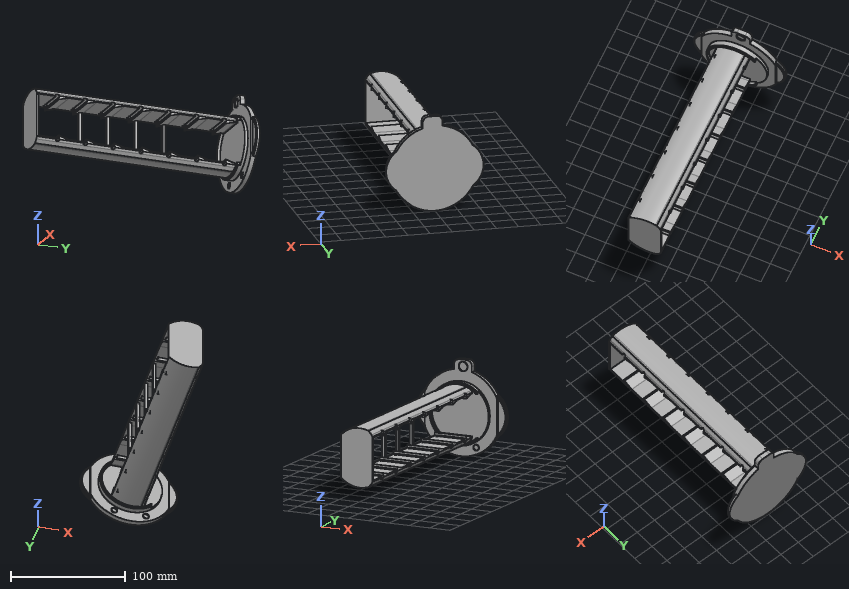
import cadquery as cq
import math

length = 199.0

flange_radius = 39.2
flange_thickness = 5.0
flange_half_flat = 35.5
flange_ramp = 0.8

ear_tip = 44.0
ear_radius = 22.9
ear_thickness = 3.5
ear_chamfer = 1.0

tab_center_x = 2.0
tab_width = 18.0
tab_top = 48.0
tab_corner_radius = 5.0
tab_hole_diameter = 8.5
tab_hole_z = 41.8

small_hole_diameter = 5.4
small_hole_center_x = 0.4
small_hole_spacing = 28.9
small_hole_z = -29.8
recess_depth = 1.0

spigot_diameter = 57.5
spigot_base_end = 8.0
spigot_end = 11.0
spigot_chamfer = 1.0
rim_cut_x = 18.3

bar_radius = 26.9
bar_left = -18.3
bar_right = 12.7
bar_arc_end_x = 7.4
bar_bevel_start = (9.0, 25.5)
bar_bevel_middle = (11.7, 22.3)
bar_bevel_end_z = 20.3
roof_z = 19.5
floor_z = -19.1
cap_thickness = 2.0

tooth_count = 7
tooth_pitch = 26.5
first_tooth_tip = 19.3
tooth_length = 9.4
tooth_height = 2.5
groove_left = -15.5
groove_radius = 1.8
groove_center_z = 20.0
groove_to_tip = 1.1

post_teeth = range(2, 6)
post_width = 3.0
post_depth = 2.5
post_to_tip = 7.8


def plane_at(depth):
    """XZ plane at y = -depth, extruding towards -Y."""
    return cq.Workplane("XZ", origin=(0, -depth, 0))


def make_flange():
    outer_half = flange_half_flat + flange_ramp
    band = (
        cq.Workplane("XY", origin=(0, 0, -flange_radius))
        .moveTo(-outer_half, 0)
        .lineTo(outer_half, 0)
        .lineTo(outer_half, -ear_thickness)
        .lineTo(flange_half_flat, -flange_thickness)
        .lineTo(-flange_half_flat, -flange_thickness)
        .lineTo(-outer_half, -ear_thickness)
        .close()
        .extrude(2 * flange_radius)
    )
    flange = plane_at(0).circle(flange_radius).extrude(flange_thickness).intersect(band)
    for side in (-1, 1):
        ear = (
            plane_at(0)
            .center(side * (ear_tip - ear_radius), 0)
            .circle(ear_radius)
            .extrude(ear_thickness)
            .faces("<Y")
            .chamfer(ear_chamfer)
        )
        flange = flange.union(ear)
    return flange


def make_tab():
    tab_bottom = spigot_diameter / 2
    return (
        plane_at(0)
        .center(tab_center_x, (tab_top + tab_bottom) / 2)
        .rect(tab_width, tab_top - tab_bottom)
        .extrude(flange_thickness)
        .edges("|Y and >Z")
        .fillet(tab_corner_radius)
    )


def make_recesses():
    bottom = plane_at(flange_thickness - recess_depth)
    tab_recess = (
        bottom.center(tab_center_x, tab_hole_z).circle(tab_hole_diameter / 2).extrude(recess_depth)
    )
    small_recesses = (
        bottom.center(small_hole_center_x, small_hole_z)
        .rarray(small_hole_spacing, 2, 2, 1)
        .circle(small_hole_diameter / 2)
        .extrude(recess_depth)
    )
    return tab_recess.union(small_recesses)


def make_spigot():
    spigot_radius = spigot_diameter / 2
    rim_height = spigot_end - spigot_base_end
    base = plane_at(0).circle(spigot_radius).extrude(spigot_base_end)
    rim = (
        plane_at(spigot_base_end)
        .circle(spigot_radius)
        .extrude(rim_height)
        .faces("<Y")
        .chamfer(spigot_chamfer)
    )
    bore = plane_at(spigot_base_end).circle(bar_radius).extrude(rim_height)
    rim_span = rim_cut_x + spigot_radius
    keep = (
        plane_at(spigot_base_end)
        .center(rim_cut_x - rim_span / 2, 0)
        .rect(rim_span, spigot_diameter)
        .extrude(rim_height)
    )
    return base.union(rim.cut(bore).intersect(keep))


def make_bar_envelope():
    def on_circle(x):
        return math.sqrt(bar_radius**2 - x**2)

    left_z = on_circle(bar_left)
    arc_end_z = on_circle(bar_arc_end_x)
    bevel_x, bevel_z = bar_bevel_start
    middle_x, middle_z = bar_bevel_middle
    return (
        plane_at(spigot_base_end)
        .moveTo(bar_left, -left_z)
        .lineTo(bar_left, left_z)
        .threePointArc((0, bar_radius), (bar_arc_end_x, arc_end_z))
        .lineTo(bevel_x, bevel_z)
        .lineTo(middle_x, middle_z)
        .lineTo(bar_right, bar_bevel_end_z)
        .lineTo(bar_right, -bar_bevel_end_z)
        .lineTo(middle_x, -middle_z)
        .lineTo(bevel_x, -bevel_z)
        .lineTo(bar_arc_end_x, -arc_end_z)
        .threePointArc((0, -bar_radius), (bar_left, -left_z))
        .close()
        .extrude(length - spigot_base_end)
    )


def across_bar(points):
    """Prism with the given (y, z) outline that spans the full width of the bar in X."""
    side = cq.Workplane("YZ", origin=(bar_left, 0, 0))
    return side.polyline(points).close().extrude(bar_right - bar_left)


def make_tooth(tip, wall_z, inward):
    points = [
        (-(tip - tooth_length), wall_z),
        (-tip, wall_z + inward * tooth_height),
        (-tip, wall_z),
    ]
    return across_bar(points)


def make_groove(tip, inward):
    """Round groove that undercuts the tooth and just breaks through the wall at its ends."""
    return (
        cq.Workplane("YZ", origin=(groove_left, 0, 0))
        .center(-(tip + groove_to_tip), -inward * groove_center_z)
        .circle(groove_radius)
        .extrude(bar_right - groove_left)
    )


def make_post(tip):
    return (
        plane_at(tip - post_to_tip)
        .center(bar_left + post_depth / 2, (roof_z + floor_z) / 2)
        .rect(post_depth, roof_z - floor_z)
        .extrude(post_width)
    )


def make_bar():
    envelope = make_bar_envelope()
    window = across_bar(
        [
            (-spigot_base_end, floor_z),
            (-spigot_base_end, roof_z),
            (-(length - cap_thickness), roof_z),
            (-(length - cap_thickness), floor_z),
        ]
    )
    bar = envelope.cut(window)
    for index in range(tooth_count):
        tip = first_tooth_tip + index * tooth_pitch
        for wall_z, inward in ((roof_z, -1), (floor_z, 1)):
            bar = bar.union(make_tooth(tip, wall_z, inward))
            bar = bar.cut(make_groove(tip, inward))
        if index in post_teeth:
            bar = bar.union(make_post(tip))
    return bar


result = make_flange().union(make_tab()).cut(make_recesses()).union(make_spigot()).union(make_bar())